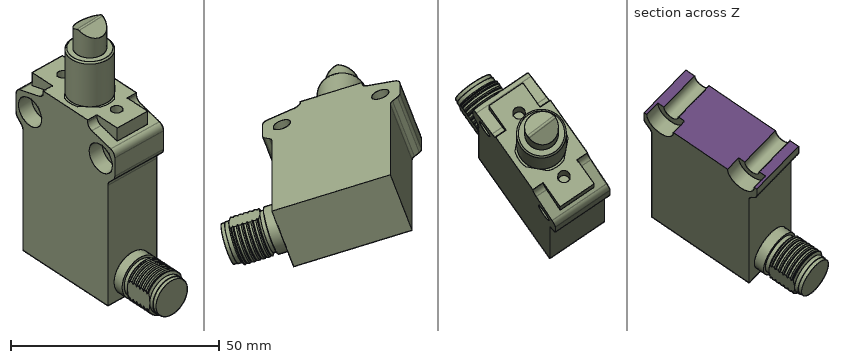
import cadquery as cq
import math


total_height = 73.0
total_width = 46.5
housing_width = 30.15
housing_depth = 16.0
housing_height = 52.05
ear_width = 35.0
ear_edge_top = 47.45
ear_edge_bottom = 39.6
shoulder_half_width = 7.9
shoulder_angle = 15.0
edge_radius = 2.0
center_block_depth = 9.9

mount_spacing = 25.05
mount_height = 43.1
mount_diameter = 4.4
counterbore_diameter = 8.2
counterbore_depth = 4.2

screw_spacing = 19.0
screw_diameter = 3.0
screw_depth = 5.85

sleeve_diameter = 12.0
sleeve_height = 13.3
sleeve_chamfer = 0.45
base_diameter = 13.15
base_thickness = 2.0

plunger_diameter = 8.2
roof_angle = 28.8
ridge_radius = 0.7
ridge_turn = 3.0

connector_height = 6.1
collar_diameter = 12.0
collar_length = 2.85
neck_diameter = 10.6
neck_length = 1.1
thread_length = 7.95
thread_chamfer_length = 0.45
thread_diameter = collar_diameter
groove_count = 6
groove_pitch = 1.25
groove_width = 0.65
groove_depth = 0.255
neck_end = 28.0
ring_diameter = 10.3


def make_ear_profile():
    """XZ outline of the housing with its two mounting ears, all corners sharp."""
    body_x = housing_width / 2
    ear_x = ear_width / 2
    underside_bottom = ear_edge_bottom - (ear_x - body_x)
    shoulder_rise = (ear_x - shoulder_half_width) * math.tan(math.radians(shoulder_angle))
    right_side = [
        (body_x, 0),
        (body_x, underside_bottom),
        (ear_x, ear_edge_bottom),
        (ear_x, ear_edge_top),
        (shoulder_half_width, ear_edge_top + shoulder_rise),
        (shoulder_half_width, housing_height),
    ]
    left_side = [(-x, z) for x, z in reversed(right_side)]
    return right_side + left_side


def make_sleeve_base():
    """Round base with four flats at 45 degrees, its top flush with the housing top."""
    round_base = cq.Workplane("XY").circle(base_diameter / 2).extrude(-base_thickness)
    flats = (
        cq.Workplane("XY")
        .rect(sleeve_diameter, sleeve_diameter)
        .extrude(-base_thickness)
        .rotate((0, 0, 0), (0, 0, 1), 45)
    )
    return round_base.intersect(flats).translate((0, 0, housing_height))


def make_housing():
    body = (
        cq.Workplane("XZ")
        .polyline(make_ear_profile())
        .close()
        .extrude(housing_depth / 2, both=True)
    )
    rounded_zone = cq.selectors.BoxSelector(
        (-ear_width, -housing_depth, housing_height / 2),
        (ear_width, housing_depth, housing_height - edge_radius / 2),
    )
    body = body.edges("|Y").edges(rounded_zone).fillet(edge_radius)

    center_block = (
        cq.Workplane("XY", origin=(0, 0, mount_height))
        .rect(housing_width, center_block_depth)
        .extrude(housing_height - mount_height)
    )
    body = body.union(center_block)

    mount_points = [(-mount_spacing / 2, mount_height), (mount_spacing / 2, mount_height)]
    body = (
        body.copyWorkplane(cq.Workplane("XZ", origin=(0, -housing_depth / 2, 0)))
        .pushPoints(mount_points)
        .cboreHole(mount_diameter, counterbore_diameter, counterbore_depth)
    )

    screw_points = [(-screw_spacing / 2, 0), (screw_spacing / 2, 0)]
    body = (
        body.copyWorkplane(cq.Workplane("XY", origin=(0, 0, housing_height)))
        .pushPoints(screw_points)
        .hole(screw_diameter, screw_depth)
    )
    return body.cut(make_sleeve_base())


def make_sleeve():
    tube = (
        cq.Workplane("XY", origin=(0, 0, housing_height))
        .circle(sleeve_diameter / 2)
        .extrude(sleeve_height)
        .faces(">Z")
        .chamfer(sleeve_chamfer)
    )
    return tube.union(make_sleeve_base())


def make_plunger():
    """Round pin standing on the sleeve, with a rounded roof ridge across its tip."""
    bottom = housing_height + sleeve_height
    angle = math.radians(roof_angle)
    tangent_x = ridge_radius * math.sin(angle)
    tangent_z = total_height - ridge_radius * (1 - math.cos(angle))
    eave_x = plunger_diameter
    eave_z = tangent_z - (eave_x - tangent_x) * math.tan(angle)
    roof = (
        cq.Workplane("XZ")
        .moveTo(-eave_x, bottom)
        .lineTo(-eave_x, eave_z)
        .lineTo(-tangent_x, tangent_z)
        .threePointArc((0, total_height), (tangent_x, tangent_z))
        .lineTo(eave_x, eave_z)
        .lineTo(eave_x, bottom)
        .close()
        .extrude(plunger_diameter, both=True)
        .rotate((0, 0, 0), (0, 0, 1), ridge_turn)
    )
    pin = (
        cq.Workplane("XY", origin=(0, 0, bottom))
        .circle(plunger_diameter / 2)
        .extrude(total_height - bottom)
    )
    return pin.intersect(roof)


def make_connector():
    """Turned connector along +X, with ring grooves and two flats on its threaded length."""
    start = housing_width / 2
    collar_end = start + collar_length
    thread_start = collar_end + neck_length
    thread_end = thread_start + thread_length
    crest_start = thread_start + thread_chamfer_length
    crest_end = thread_end - thread_chamfer_length
    ring_end = total_width - ear_width / 2
    thread_radius = thread_diameter / 2
    neck_radius = neck_diameter / 2

    def cylinder(from_x, to_x, diameter):
        return cq.Workplane("YZ", origin=(from_x, 0, 0)).circle(diameter / 2).extrude(to_x - from_x)

    thread_profile = (
        cq.Workplane("XY")
        .moveTo(thread_start, 0)
        .lineTo(thread_start, neck_radius)
        .lineTo(crest_start, thread_radius)
    )
    for index in range(groove_count):
        groove_start = crest_start + index * groove_pitch
        if index > 0:
            thread_profile = thread_profile.lineTo(groove_start, thread_radius)
        thread_profile = (
            thread_profile
            .lineTo(groove_start + groove_width / 2, thread_radius - groove_depth)
            .lineTo(groove_start + groove_width, thread_radius)
        )
    thread = (
        thread_profile.lineTo(crest_end, thread_radius)
        .lineTo(thread_end, neck_radius)
        .lineTo(thread_end, 0)
        .close()
        .revolve(360, (0, 0, 0), (1, 0, 0))
    )
    flats = (
        cq.Workplane("YZ", origin=(thread_start, 0, 0))
        .rect(neck_diameter, thread_diameter)
        .extrude(thread_length)
    )

    connector = (
        cylinder(start, collar_end, collar_diameter)
        .union(cylinder(collar_end, neck_end, neck_diameter))
        .union(thread.intersect(flats))
        .union(cylinder(neck_end, ring_end, ring_diameter))
    )
    return connector.translate((0, 0, connector_height))


housing = make_housing()
sleeve = make_sleeve()
plunger = make_plunger()
connector = make_connector()

result = cq.Compound.makeCompound(
    [housing.val(), sleeve.val(), plunger.val(), connector.val()]
)